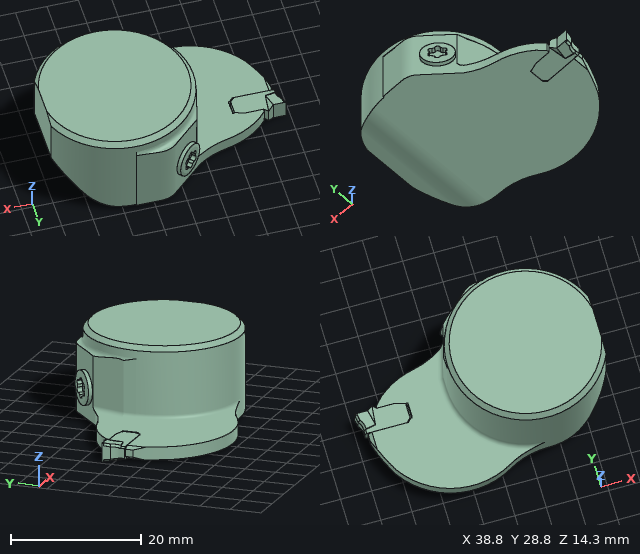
import cadquery as cq
import math


boss_radius = 12.5
boss_top = 13.85
boss_chamfer = 0.78
side_flat_x = 11.5

undercut_height = 5.95
undercut_radius = 7.5
undercut_slope = math.radians(45)

pad_top = 10.95
pad_side_y = 12.7
pad_corner_radius = 3.7
pad_wall_start = (-boss_radius, 1.98)
pad_wall_end_y = 7.6
fillet_radius = 0.8

screw_flat_angle = 132.5
screw_flat_distance = 13.05

screw_center_z = 5.0
screw_head_diameter = 5.5
screw_shoulder_height = 0.65
screw_rim_height = 0.15
screw_rim_width = 0.55
socket_core_diameter = 2.55
socket_lobe_circle_diameter = 2.35
socket_lobe_diameter = 0.85
socket_lobes = 6
socket_depth = 0.85

plate_thickness = 2.1
lobe_center = (-13.0, -3.22)
lobe_radius = 12.85
lobe_start = (-23.63, -10.32)
plate_nose_x = -26.1
plate_nose_bottom_y = -4.55
plate_nose_arc_middle = (-25.22, -7.0)
plate_nose_chamfer_length = 0.62
plate_nose_chamfer_height = 0.45
plate_flank_end_y = 6.9
plate_flank_middle = (-13.95, 5.65)
plate_shoulder_end = (-16.5, 4.85)
plate_shoulder_middle = (-19.85, 3.7)
plate_shoulder_start = (-22.45, 1.95)
plate_nose_top_y = -1.95

shank_top_y = 0.25
shank_bottom_y = -3.35
shank_front_x = -26.58
shank_end_x = -19.15
shank_taper_start_x = -20.75
shank_end_top_y = -0.25
shank_corner_length = 0.7
shank_corner_gap = 0.2
shank_end_gap = 0.3
insert_heel_x = -23.65
insert_tip = (-24.3, 0.85)
cutting_edge_x = -27.3
cutting_edge_y = 0.1
chip_wall_x = -25.22
head_bottom_front_y = -2.7
head_bottom_back = (-24.65, -2.33)
head_relief_start = (-27.1, -1.2)
head_relief_middle = (-26.75, -1.75)
head_overhang = 0.45
head_relief_drop = 0.35
head_corner_chamfer = 0.35
cutting_land = 0.25
shank_front_chamfer = 0.27

clearance = 7.75

pick_margin = 0.05


def prism(outline, bottom, top):
    """Extrude a closed outline in the XY plane from one height to another."""
    return outline.extrude(top - bottom).translate((0, 0, bottom))


def point_on_flat(y):
    """Point of the inclined flat at a given Y."""
    angle = math.radians(screw_flat_angle)
    return ((screw_flat_distance - y * math.sin(angle)) / math.cos(angle), y)


def point_on_circle(center, radius, direction):
    """Point where a ray from the center of a circle meets the circle."""
    length = math.hypot(*direction)
    return tuple(c + radius * d / length for c, d in zip(center, direction))


def make_cylinder():
    return cq.Workplane("XY").circle(boss_radius).extrude(boss_top)


def make_wall_wedge():
    """Part of the pad behind its two plain walls."""
    outline = (
        cq.Workplane("XY")
        .lineTo(-boss_radius, 0)
        .lineTo(*pad_wall_start)
        .lineTo(*point_on_flat(pad_wall_end_y))
        .close()
    )
    return prism(outline, 0, boss_top)


def make_flat_wedge():
    """Part of the pad behind the inclined screw flat, with a rounded corner on its +Y side."""
    corner = point_on_flat(pad_side_y)
    outline = (
        cq.Workplane("XY")
        .lineTo(*point_on_flat(pad_wall_end_y))
        .lineTo(*corner)
        .lineTo(0, pad_side_y)
        .close()
    )
    at_corner = cq.selectors.NearestToPointSelector((*corner, boss_top / 2))
    return prism(outline, 0, boss_top).edges(at_corner).fillet(pad_corner_radius)


def fillet_into_slab(column, height):
    """Fillet a column into a wide slab that reaches from Z = 0 up to the given height."""
    reach = -cutting_edge_x + clearance
    slab = cq.Workplane("XY").box(2 * reach, 2 * reach, height, centered=(True, True, False))
    inner = reach - pick_margin
    foot = cq.selectors.BoxSelector(
        (-inner, -inner, height - pick_margin), (inner, inner, height + pick_margin)
    )
    return slab.union(column).edges(foot).fillet(fillet_radius)


def make_boss():
    """Chamfered round boss with the pad filleted into its side."""
    footprint = make_cylinder().union(make_wall_wedge()).union(make_flat_wedge())
    chamfered = make_cylinder().faces(">Z").chamfer(boss_chamfer)
    return fillet_into_slab(chamfered, pad_top).intersect(footprint)


def make_plate():
    """Plate below the boss, with a fillet up to the boss and to the pad walls."""
    lobe_x, lobe_y = lobe_center
    gap = boss_radius + lobe_y
    waist_radius = (lobe_x**2 + gap**2 - lobe_radius**2) / (2 * (lobe_radius - gap))
    waist_y = -boss_radius - waist_radius

    lobe_to_waist = (-lobe_x, waist_y - lobe_y)
    lobe_end = point_on_circle(lobe_center, lobe_radius, lobe_to_waist)
    lobe_middle = point_on_circle(lobe_center, lobe_radius, (0, -1))
    waist_middle = point_on_circle((0, waist_y), waist_radius, (lobe_end[0] / 2, waist_radius))

    outline = (
        cq.Workplane("XY")
        .lineTo(*point_on_flat(pad_wall_end_y))
        .lineTo(*point_on_flat(plate_flank_end_y))
        .threePointArc(plate_flank_middle, plate_shoulder_end)
        .threePointArc(plate_shoulder_middle, plate_shoulder_start)
        .lineTo(plate_nose_x, plate_nose_top_y)
        .lineTo(plate_nose_x, plate_nose_bottom_y)
        .threePointArc(plate_nose_arc_middle, lobe_start)
        .threePointArc(lobe_middle, lobe_end)
        .threePointArc(waist_middle, (0, -boss_radius))
        .close()
    )
    walls = make_cylinder().union(make_wall_wedge())
    blank = prism(outline, 0, plate_thickness + fillet_radius)
    return fillet_into_slab(walls, plate_thickness).intersect(blank)


def cut_nose_chamfers(plate):
    """Thin the nose of the plate next to the insert, on both faces."""
    for face_z, inward in ((plate_thickness, -1), (0, 1)):
        wedge = (
            cq.Workplane("XZ")
            .moveTo(plate_nose_x, face_z + inward * plate_nose_chamfer_height)
            .lineTo(plate_nose_x, face_z)
            .lineTo(plate_nose_x + plate_nose_chamfer_length, face_z)
            .close()
            .extrude(clearance)
        )
        plate = plate.cut(wedge)
    return plate


def cut_undercut(body):
    """Cut the side flat and the 45 degree slope that blends into the underside."""
    slope_foot_x = side_flat_x - undercut_height / math.tan(undercut_slope)
    arc_start_x = slope_foot_x - undercut_radius * math.tan(undercut_slope / 2)

    def arc_point(angle):
        return (
            arc_start_x + undercut_radius * math.sin(angle),
            undercut_radius * (1 - math.cos(angle)),
        )

    far_x = boss_radius + clearance
    cutter = (
        cq.Workplane("XZ")
        .moveTo(arc_start_x, 0)
        .threePointArc(arc_point(undercut_slope / 2), arc_point(undercut_slope))
        .lineTo(side_flat_x, undercut_height)
        .lineTo(side_flat_x, boss_top)
        .lineTo(far_x, boss_top)
        .lineTo(far_x, 0)
        .close()
        .extrude(boss_radius + clearance, both=True)
    )
    return body.cut(cutter)


def add_screw(body):
    """Add the screw head with its six-lobed socket on the inclined flat."""
    angle = math.radians(screw_flat_angle)
    normal = (math.cos(angle), math.sin(angle), 0)
    foot = (screw_flat_distance * normal[0], screw_flat_distance * normal[1], screw_center_z)
    plane = cq.Plane(origin=foot, xDir=(0, 0, 1), normal=normal)
    height = screw_shoulder_height + screw_rim_height
    head = cq.Workplane(plane).circle(screw_head_diameter / 2).extrude(height)
    head = head.faces(cq.selectors.DirectionMinMaxSelector(cq.Vector(*normal), True))
    head = head.chamfer(screw_rim_height, screw_rim_width)
    top = cq.Workplane(plane).workplane(offset=height)
    socket = top.circle(socket_core_diameter / 2).extrude(-socket_depth)
    lobes = (
        top.polarArray(socket_lobe_circle_diameter / 2, 0, 360, socket_lobes)
        .circle(socket_lobe_diameter / 2)
        .extrude(-socket_depth)
    )
    return body.union(head).cut(socket).cut(lobes)


def make_slot():
    """Through slot for the insert shank, with a relief behind the shank end and its corner."""
    corner_y = shank_bottom_y + shank_corner_length
    outline = (
        cq.Workplane("XY")
        .moveTo(cutting_edge_x, shank_bottom_y)
        .lineTo(shank_end_x - shank_corner_length + shank_corner_gap, shank_bottom_y)
        .lineTo(shank_end_x, corner_y - shank_corner_gap)
        .lineTo(shank_end_x, shank_end_top_y)
        .lineTo(shank_taper_start_x, shank_top_y)
        .lineTo(insert_heel_x, shank_top_y)
        .lineTo(insert_heel_x, insert_tip[1])
        .lineTo(cutting_edge_x, insert_tip[1])
        .close()
    )
    relief_outline = (
        cq.Workplane("XY")
        .moveTo(shank_end_x, corner_y - shank_corner_gap)
        .lineTo(shank_end_x + shank_end_gap, corner_y)
        .lineTo(shank_end_x + shank_end_gap, shank_end_top_y)
        .lineTo(shank_end_x, shank_end_top_y)
        .close()
    )
    relief = prism(relief_outline, plate_thickness / 2, plate_thickness)
    return prism(outline, 0, plate_thickness).union(relief)


def make_holder():
    """Boss, plate and clamping screw."""
    body = make_boss().union(cut_nose_chamfers(make_plate()))
    return add_screw(cut_undercut(body)).cut(make_slot())


def make_insert_shank():
    """Part of the insert that lies flush in the plate."""
    outline = (
        cq.Workplane("XY")
        .moveTo(shank_front_x, shank_bottom_y)
        .lineTo(shank_end_x - shank_corner_length, shank_bottom_y)
        .lineTo(shank_end_x, shank_bottom_y + shank_corner_length)
        .lineTo(shank_end_x, shank_end_top_y)
        .lineTo(shank_taper_start_x, shank_top_y)
        .lineTo(insert_heel_x, shank_top_y)
        .lineTo(*insert_tip)
        .lineTo(chip_wall_x, cutting_edge_y)
        .lineTo(shank_front_x, cutting_edge_y)
        .close()
    )
    shank = prism(outline, 0, plate_thickness)
    front_edges = shank.faces("<X").edges("|Y")
    return front_edges.chamfer(shank_front_chamfer)


def make_insert_head():
    """Cutting head: its outlines along the three axes, intersected."""
    low = -head_overhang
    high = plate_thickness + head_overhang
    plan = (
        cq.Workplane("XY")
        .moveTo(cutting_edge_x, cutting_edge_y)
        .lineTo(chip_wall_x, cutting_edge_y)
        .lineTo(*insert_tip)
        .lineTo(*head_bottom_back)
        .lineTo(shank_front_x, head_bottom_front_y)
        .threePointArc(head_relief_middle, head_relief_start)
        .close()
    )
    cross_profile = (
        cq.Workplane("YZ")
        .moveTo(insert_tip[1], low)
        .lineTo(cutting_edge_y, low)
        .lineTo(head_bottom_front_y, low + head_relief_drop)
        .lineTo(head_bottom_front_y, high - head_relief_drop)
        .lineTo(cutting_edge_y, high)
        .lineTo(insert_tip[1], high)
        .close()
        .extrude(2 * cutting_edge_x)
    )
    side_profile = (
        cq.Workplane("XZ")
        .moveTo(cutting_edge_x, low)
        .lineTo(chip_wall_x, low)
        .lineTo(insert_tip[0], 0)
        .lineTo(insert_tip[0], plate_thickness)
        .lineTo(chip_wall_x, high)
        .lineTo(cutting_edge_x, high)
        .close()
        .extrude(clearance, both=True)
    )
    return prism(plan, low, high).intersect(cross_profile).intersect(side_profile)


def chamfer_front_corners(head):
    """Chamfer the top and bottom front edges, except along a land behind the cutting edge."""
    land = head.intersect(
        cq.Workplane("XY")
        .box(clearance, cutting_land, clearance)
        .translate((cutting_edge_x, cutting_edge_y - cutting_land / 2, plate_thickness / 2))
    )
    front_x = shank_front_x - pick_margin
    far_x = cutting_edge_x - clearance
    for bottom, top in ((plate_thickness, clearance), (-clearance, 0)):
        front = cq.selectors.BoxSelector((far_x, -clearance, bottom), (front_x, 0, top))
        head = head.edges(front).chamfer(head_corner_chamfer)
    return head.union(land)


def make_insert():
    return make_insert_shank().union(chamfer_front_corners(make_insert_head()))


holder = make_holder()
insert = make_insert()

result = cq.Compound.makeCompound([holder.solids().val(), insert.solids().val()])